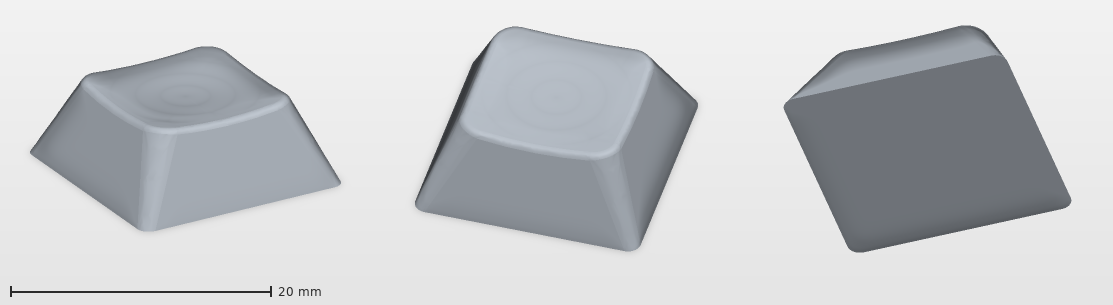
import cadquery as cq

base_side = 18.0
base_corner_radius = 1.0
taper_height = 7.2
taper_top_side = 12.2
taper_top_corner_radius = 2.07

dish_bottom_z = 6.0
dish_radius = 39.6
rim_fillet_radius = 0.58


def rounded_square(side, corner_radius):
    """Square profile with rounded corners, centred on the Z axis."""
    return cq.Sketch().rect(side, side).vertices().fillet(corner_radius)


def tapered_body():
    """Solid body narrowing upwards while its corners grow rounder."""
    base_profile = rounded_square(base_side, base_corner_radius)
    top_profile = rounded_square(taper_top_side, taper_top_corner_radius)
    raised_top = top_profile.moved(cq.Location(cq.Vector(0, 0, taper_height)))
    return cq.Workplane("XY").placeSketch(base_profile, raised_top).loft()


def dish_cutter():
    """Large sphere whose lowest point is the bottom of the dish."""
    return cq.Workplane("XY").sphere(dish_radius).translate((0, 0, dish_bottom_z + dish_radius))


dished_body = tapered_body().cut(dish_cutter())

result = dished_body.faces("%SPHERE").edges().fillet(rim_fillet_radius)